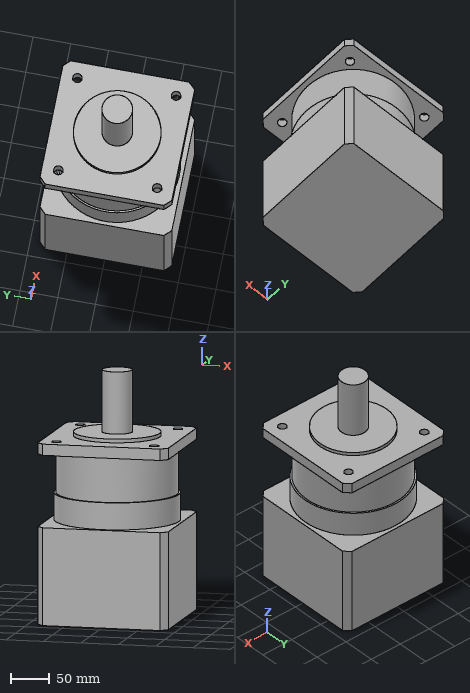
import cadquery as cq

square_side = 175.0
corner_turning_diameter = 235.0

total_height = 327.0
housing_height = 129.5
ring_height = 35.5
body_height = 60.0
flange_thickness = 15.0
pilot_height = 5.0

ring_diameter = 165.0
body_diameter = 160.0
pilot_diameter = 114.0
shaft_diameter = 40.0

hole_diameter = 12.0
hole_spacing = 130.8

ring_bottom = housing_height
body_bottom = ring_bottom + ring_height
flange_bottom = body_bottom + body_height
pilot_bottom = flange_bottom + flange_thickness
shaft_bottom = pilot_bottom + pilot_height
shaft_length = total_height - shaft_bottom


def cylinder(diameter, bottom, height):
    """Upright cylinder on the central axis."""
    return cq.Workplane("XY").workplane(offset=bottom).circle(diameter / 2).extrude(height)


def turned_square(bottom, height):
    """Square block whose corners are cut back to arcs of the turning circle."""
    block = cq.Workplane("XY").workplane(offset=bottom).rect(square_side, square_side).extrude(height)
    return block.intersect(cylinder(corner_turning_diameter, bottom, height))


def mounting_flange():
    """Square flange with a through hole near each corner."""
    holes = (
        cq.Workplane("XY")
        .workplane(offset=flange_bottom)
        .rect(hole_spacing, hole_spacing, forConstruction=True)
        .vertices()
        .circle(hole_diameter / 2)
        .extrude(flange_thickness)
    )
    return turned_square(flange_bottom, flange_thickness).cut(holes)


housing = turned_square(0, housing_height)
ring = cylinder(ring_diameter, ring_bottom, ring_height)
body = cylinder(body_diameter, body_bottom, body_height)
pilot = cylinder(pilot_diameter, pilot_bottom, pilot_height)
shaft = cylinder(shaft_diameter, shaft_bottom, shaft_length)

result = housing.union(ring).union(body).union(mounting_flange()).union(pilot).union(shaft)